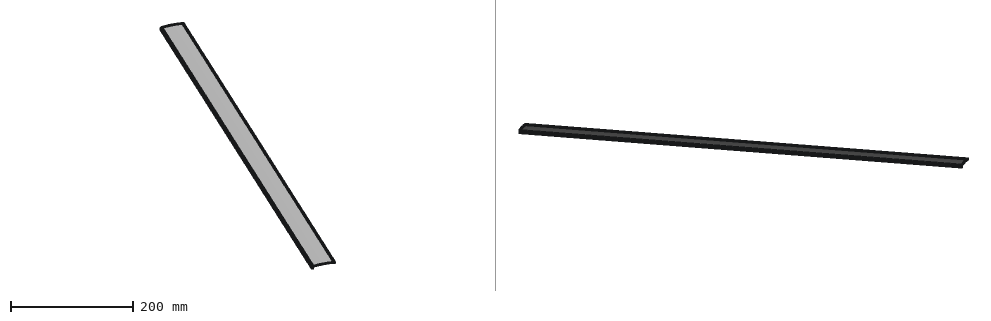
import cadquery as cq
import math

length = 750.0
width = 40.0
height = 5.4

thickness = 1.2
crown_rise = 1.2
front_lip_width = 1.5
back_lip_width = 1.5
back_lip_height = 1.5
front_bevel = 2.0
back_bevel = 0.9

half_width = width / 2
edge_z = height - crown_rise
front_lip_inner_y = -half_width + front_lip_width
back_lip_inner_y = half_width - back_lip_width

outer_radius = (half_width**2 + crown_rise**2) / (2 * crown_rise)
inner_radius = outer_radius - thickness
arch_center_z = height - outer_radius


def inner_arch_z(y):
    """Height of the underside of the arch at a given y."""
    return arch_center_z + math.sqrt(inner_radius**2 - y**2)


profile = (
    cq.Workplane("YZ")
    .moveTo(-half_width, 0)
    .lineTo(-half_width, edge_z)
    .threePointArc((0, height), (half_width, edge_z))
    .lineTo(half_width, edge_z - back_lip_height)
    .lineTo(back_lip_inner_y, edge_z - back_lip_height)
    .lineTo(back_lip_inner_y, inner_arch_z(back_lip_inner_y))
    .threePointArc(
        (0, height - thickness),
        (front_lip_inner_y, inner_arch_z(front_lip_inner_y)),
    )
    .lineTo(front_lip_inner_y, 0)
    .close()
)
strip = profile.extrude(length).translate((-length / 2, 0, 0))


def bevel_top_corner(body, y, size):
    """Bevel the long upper outer edge of the strip at a given y."""
    corner = cq.selectors.NearestToPointSelector((0, y, edge_z))
    return body.edges("|X").edges(corner).chamfer(size)


strip = bevel_top_corner(strip, -half_width, front_bevel)
result = bevel_top_corner(strip, half_width, back_bevel)